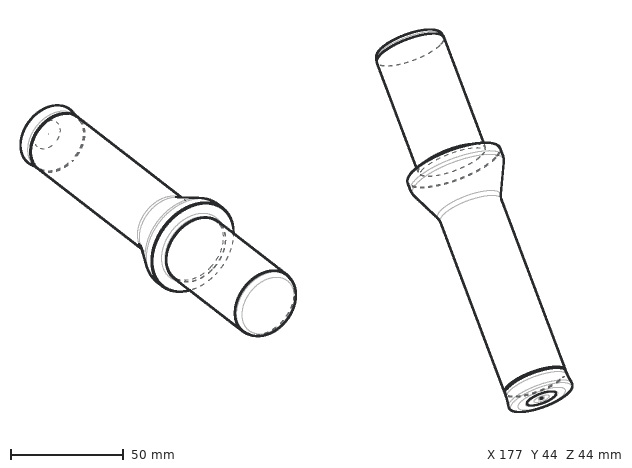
import cadquery as cq

length = 177.0

cap_end = 8.1
flat_face_diameter = 22.5
face_rim_setback = 0.9
rim_diameter = 30.5
rim_round = 0.9
taper_end = 6.2

ring_outer_diameter = 15.2
ring_inner_diameter = 12.5
ring_depth = 0.2
dimple_diameter = 7.3
dimple_floor_diameter = 3.0
dimple_depth = 0.2
center_hole_diameter = 1.0
center_hole_depth = 0.2

rod_diameter = 29.0
rod_chamfer = 0.5
cone_start = 95.2
cone_end = 111.7
flange_end = 116.8
flange_diameter = 44.0
flange_chamfer = 0.4
cone_root_fillet = 5.3
cone_rim_fillet = 3.9

shank_diameter = 32.0
relief_diameter = 31.5
shank_start = 119.1
shank_end = 174.2
relief_fillet = 1.0
end_fillet = 1.8


def turned(points):
    """Revolve an outline of (x, radius) points about the X axis."""
    return cq.Workplane("XY").polyline(points).close().revolve(360, (0, 0, 0), (1, 0, 0))


def fillet_circle(body, x, diameter, radius):
    """Round the circular edge of the given diameter at position x."""
    reach = 0.02
    half_side = diameter / 2 + reach
    selector = cq.selectors.BoxSelector(
        (x - reach, -half_side, -half_side),
        (x + reach, half_side, half_side),
        boundingbox=True,
    )
    circles = body.edges(selector).edges("%CIRCLE").vals()
    edge = max(circles, key=lambda circle: circle.radius())
    return body.newObject([edge]).fillet(radius)


def make_cap():
    rod_radius = rod_diameter / 2
    rim_radius = rim_diameter / 2
    dimple_floor = dimple_depth + center_hole_depth
    ring_middle = (ring_outer_diameter + ring_inner_diameter) / 4
    cap = turned([
        (dimple_floor, 0),
        (dimple_floor, center_hole_diameter / 2),
        (dimple_depth, center_hole_diameter / 2),
        (dimple_depth, dimple_floor_diameter / 2),
        (0, dimple_diameter / 2),
        (0, ring_inner_diameter / 2),
        (ring_depth, ring_middle),
        (0, ring_outer_diameter / 2),
        (0, flat_face_diameter / 2),
        (face_rim_setback, rim_radius),
        (taper_end, rod_radius),
        (cap_end, rod_radius),
        (cap_end, 0),
    ])
    return fillet_circle(cap, face_rim_setback, rim_diameter, rim_round)


def make_rod():
    rod_radius = rod_diameter / 2
    flange_radius = flange_diameter / 2
    shank_radius = shank_diameter / 2
    relief_radius = relief_diameter / 2
    rod = turned([
        (cap_end, 0),
        (cap_end, rod_radius - rod_chamfer),
        (cap_end + rod_chamfer, rod_radius),
        (cone_start, rod_radius),
        (cone_end, flange_radius),
        (flange_end - flange_chamfer, flange_radius),
        (flange_end, flange_radius - flange_chamfer),
        (flange_end, relief_radius),
        (shank_start, relief_radius),
        (shank_start, shank_radius),
        (shank_end, shank_radius),
        (shank_end, relief_radius),
        (length, relief_radius),
        (length, 0),
    ])
    rod = fillet_circle(rod, cone_start, rod_diameter, cone_root_fillet)
    rod = fillet_circle(rod, cone_end, flange_diameter, cone_rim_fillet)
    rod = fillet_circle(rod, flange_end, relief_diameter, relief_fillet)
    return fillet_circle(rod, length, relief_diameter, end_fillet)


cap = make_cap()
rod = make_rod()
result = cq.Compound.makeCompound([cap.val(), rod.val()])